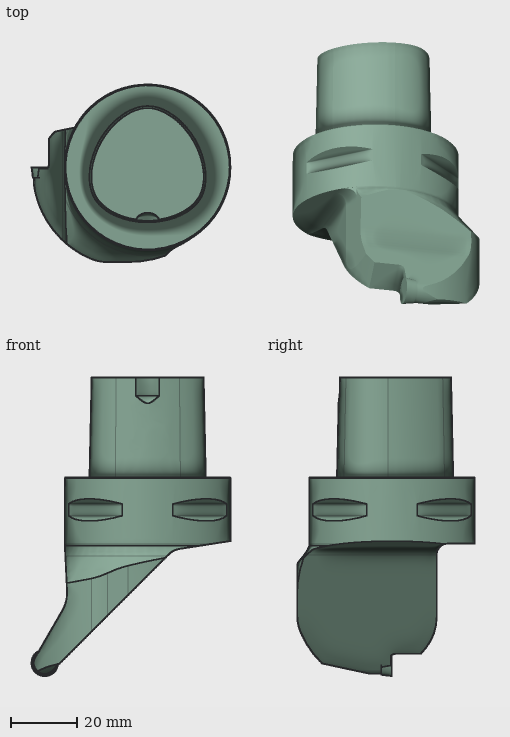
import cadquery as cq
import math


flange_radius = 25.0
flange_height = 20.1
flange_chamfer = 0.3

shank_height = 30.0
shank_mean_radius = 17.55
shank_lobe = 0.95
shank_taper_drop = 0.65
flank_half_angle = 25.0

key_radius = 4.0
key_offset = 17.65
key_depth = 5.5
key_tip_depth = 3.7

gripper_floor_distance = 22.2
gripper_floor_width = 3.5
gripper_mouth_width = 6.7
gripper_z = -9.9
gripper_angles = (45.0, 135.0, 225.0, 315.0)
gripper_corner = 0.3

band_height = 0.6
band_bottom_radius = 24.9
neck_cove_height = 3.0
cove_start_angle = 20.0
flare_angle = 40.0

insert_radius = 4.0
insert_thickness = 3.18
insert_relief = 7.0
insert_x = -31.0
insert_z = -56.0

nose_radius = 3.3
front_slope = 30.0
front_top_x = -flange_radius
front_top_z = -19.9
front_bend_x = -24.15
front_bend_radius = 11.0
underside_edge_z = -19.3
underside_slope = 8.8
underside_blend_radius = 6.0

seat_face_y = -0.4
gullet_distance = 54.4
gullet_corner = 1.5

side_wall_y = 13.5
side_fillet = 3.2
side_bend = (-15.0, side_wall_y)
side_front = (-35.0, 9.3)
side_round_start = 39.0
side_round_radius = 27.0

clearance_x = -5.7
clearance_y = -1.0
clearance_radius = 28.9
clearance_end_angle = 247.0
blend_mid = (-14.7, -28.3)
flat_y = -28.57
flat_start = (-12.1, flat_y)
flat_end = (-6.0, flat_y)
tail_radius = 34.0
tail_run = 26.0

relief_start_y = -6.6
relief_start_z = -59.3
relief_rise = 0.215

arm_bottom = -65.0
reach = 40.0


def lobed_point(normal_deg, mean_radius):
    """Point of the three-lobed curve whose outward normal has this angle."""
    n = math.radians(normal_deg)
    phase = 3 * (n - math.pi / 2)
    support = mean_radius + shank_lobe * math.cos(phase)
    slope = -3 * shank_lobe * math.sin(phase)
    return (
        support * math.cos(n) - slope * math.sin(n),
        support * math.sin(n) + slope * math.cos(n),
    )


def lobed_wire(mean_radius, z):
    """Closed three-lobed section: a flank and a lobe, three times."""
    spline_steps = 6
    lobe_spacing = 120.0
    edges = []
    for flank in (-90.0, 30.0, 150.0):
        flank_start = flank - flank_half_angle
        stops = (flank_start, flank + flank_half_angle, flank_start + lobe_spacing)
        for start, end in zip(stops, stops[1:]):
            angles = [start + (end - start) * i / spline_steps for i in range(spline_steps + 1)]
            points = [cq.Vector(*lobed_point(a, mean_radius), z) for a in angles]
            tangents = [
                cq.Vector(-math.sin(math.radians(a)), math.cos(math.radians(a)), 0)
                for a in (start, end)
            ]
            edges.append(cq.Edge.makeSpline(points, tangents))
    return cq.Wire.assembleEdges(edges)


def make_shank():
    base = lobed_wire(shank_mean_radius, 0)
    end = lobed_wire(shank_mean_radius - shank_taper_drop, shank_height)
    shank = cq.Workplane(cq.Solid.makeLoft([base, end], True))
    floor_z = shank_height - key_depth
    notch = (
        cq.Workplane("XZ")
        .polyline([
            (0, shank_height + 1),
            (key_radius, shank_height + 1),
            (key_radius, floor_z),
            (0, floor_z - key_tip_depth),
        ])
        .close()
        .revolve(360, (0, 0, 0), (0, 1, 0))
        .translate((0, -key_offset, 0))
    )
    return shank.cut(notch)


def make_flange():
    flange = (
        cq.Workplane("XY")
        .circle(flange_radius)
        .extrude(-flange_height)
        .faces(">Z")
        .edges()
        .chamfer(flange_chamfer)
    )
    floor_x = gripper_floor_distance
    depth = flange_radius - floor_x
    flank_run = (gripper_mouth_width - gripper_floor_width) / 2 / depth
    outer_x = flange_radius + 2
    outer_half = gripper_floor_width / 2 + flank_run * (outer_x - floor_x)
    groove = (
        cq.Workplane("XZ")
        .polyline([
            (floor_x, gripper_z - gripper_floor_width / 2),
            (floor_x, gripper_z + gripper_floor_width / 2),
            (outer_x, gripper_z + outer_half),
            (outer_x, gripper_z - outer_half),
        ])
        .close()
        .extrude(flange_radius, both=True)
        .edges("<X and |Y")
        .fillet(gripper_corner)
    )
    for angle in gripper_angles:
        flange = flange.cut(groove.rotate((0, 0, 0), (0, 0, 1), angle))
    return flange


def make_arm_outline():
    """Plan outline of the arm, extruded down from the flange underside."""
    clearance_start_angle = 180.0
    clearance_mid_angle = (clearance_start_angle + clearance_end_angle) / 2

    def clearance(angle_deg):
        angle = math.radians(angle_deg)
        return (
            clearance_x + clearance_radius * math.cos(angle),
            clearance_y + clearance_radius * math.sin(angle),
        )

    def tail(run):
        drop = tail_radius - math.sqrt(tail_radius**2 - run**2)
        return (flat_end[0] + run, flat_end[1] + drop)

    return (
        cq.Workplane("XY", origin=(0, 0, -flange_height))
        .moveTo(*clearance(clearance_start_angle))
        .threePointArc(clearance(clearance_mid_angle), clearance(clearance_end_angle))
        .threePointArc(blend_mid, flat_start)
        .lineTo(*flat_end)
        .threePointArc(tail(tail_run / 2), tail(tail_run))
        .lineTo(flange_radius, side_wall_y)
        .lineTo(*side_bend)
        .lineTo(*side_front)
        .close()
        .extrude(arm_bottom + flange_height)
    )


def make_flare():
    """Ring under the flange: band, cove, then a cone opening downwards."""
    cove_start_z = -flange_height - band_height
    start = math.radians(cove_start_angle)
    full = math.radians(flare_angle)
    cove_radius = neck_cove_height / (math.sin(full) - math.sin(start))

    def cove(angle):
        return (
            band_bottom_radius + cove_radius * (math.cos(start) - math.cos(angle)),
            cove_start_z - cove_radius * (math.sin(angle) - math.sin(start)),
        )

    cove_end = cove(full)
    cone_radius = 2 * reach
    cone_z = cove_end[1] - (cone_radius - cove_end[0]) / math.tan(full)
    return (
        cq.Workplane("XZ")
        .moveTo(0, -flange_height)
        .lineTo(flange_radius, -flange_height)
        .lineTo(band_bottom_radius, cove_start_z)
        .threePointArc(cove((start + full) / 2), cove_end)
        .lineTo(cone_radius, cone_z)
        .lineTo(0, cone_z)
        .close()
        .revolve(360, (0, 0, 0), (0, 1, 0))
    )


def make_side_root():
    """Fillet between the +Y side of the arm and the flange underside."""
    side_slope = (side_bend[1] - side_front[1]) / (side_bend[0] - side_front[0])
    far_y = side_bend[1] - side_slope * (reach + side_bend[0])
    depth = side_fillet + 1
    plate = cq.Workplane("XY", origin=(0, 0, -flange_height)).rect(2 * reach, 2 * reach).extrude(1)
    wall = (
        cq.Workplane("XY", origin=(0, 0, -flange_height))
        .polyline([(-reach, far_y), side_bend, (reach, side_wall_y), (reach, -reach), (-reach, -reach)])
        .close()
        .extrude(-depth)
    )
    root_edges = cq.selectors.BoxSelector(
        (-reach, 0, -flange_height - 0.1), (reach, side_wall_y + 1, -flange_height + 0.1)
    )
    rooted = plate.union(wall).edges(root_edges).fillet(side_fillet)
    under_flange = (
        cq.Workplane("XY", origin=(0, 0, -flange_height))
        .circle(band_bottom_radius)
        .extrude(-depth)
        .intersect(cq.Workplane("XY").box(2 * reach, reach, 2 * reach).translate((0, reach / 2, 0)))
    )
    return rooted.intersect(under_flange)


def edge_along_y(point):
    """Selector for the edge along Y whose middle is at this (x, z) and Y = 0."""
    return cq.NearestToPointSelector((point[0], 0, point[1]))


def make_side_profile():
    """Side shape of flange and arm: front, bend, round nose, 45 degree back, underside."""
    slope = math.radians(front_slope)
    nose_front = (
        insert_x - nose_radius * math.cos(slope),
        insert_z + nose_radius * math.sin(slope),
    )
    bend = (front_bend_x, nose_front[1] + (front_bend_x - nose_front[0]) / math.tan(slope))
    nose_drop = nose_radius * math.sqrt(0.5)
    nose_back = (insert_x + nose_drop, insert_z - nose_drop)
    front_angle = 180.0 - front_slope
    back_angle = 315.0
    nose_mid_angle = math.radians((front_angle + back_angle) / 2)
    nose_mid = (
        insert_x + nose_radius * math.cos(nose_mid_angle),
        insert_z + nose_radius * math.sin(nose_mid_angle),
    )
    back_offset = nose_back[0] - nose_back[1]
    rise = math.tan(math.radians(underside_slope))
    crossing_x = (underside_edge_z - rise * flange_radius + back_offset) / (1 - rise)
    crossing = (crossing_x, crossing_x - back_offset)
    rim = (reach, underside_edge_z + rise * (reach - flange_radius))
    profile = (
        cq.Workplane("XZ")
        .moveTo(front_top_x, front_top_z)
        .lineTo(*bend)
        .lineTo(*nose_front)
        .threePointArc(nose_mid, nose_back)
        .lineTo(*crossing)
        .lineTo(*rim)
        .lineTo(reach, 1)
        .lineTo(front_top_x, 1)
        .close()
        .extrude(reach, both=True)
    )
    profile = profile.edges(edge_along_y(bend)).fillet(front_bend_radius)
    return profile.edges(edge_along_y(crossing)).fillet(underside_blend_radius)


def make_tip_trim():
    """Waste on the +Y side of the tip, cut square to the 45 degree back: side rounding and chip gullet."""
    def rounding(distance):
        run = distance - side_round_start
        drop = side_round_radius - math.sqrt(side_round_radius**2 - run**2)
        return (distance, side_wall_y - drop)

    across_back = cq.Plane(origin=(0, 0, 0), xDir=(-1, 0, -1), normal=(1, 0, -1))
    corner_mid = gullet_corner * (1 - math.sqrt(0.5))
    far = 2 * reach
    return (
        cq.Workplane(across_back)
        .moveTo(*rounding(side_round_start))
        .threePointArc(rounding((side_round_start + gullet_distance) / 2), rounding(gullet_distance))
        .lineTo(gullet_distance, seat_face_y + gullet_corner)
        .threePointArc(
            (gullet_distance + corner_mid, seat_face_y + corner_mid),
            (gullet_distance + gullet_corner, seat_face_y),
        )
        .lineTo(far, seat_face_y)
        .lineTo(far, reach)
        .lineTo(side_round_start, reach)
        .close()
        .extrude(reach, both=True)
    )


def make_bottom_relief():
    """Wedge removed under the arm so that it clears the bore behind the insert."""
    start = (relief_start_y, relief_start_z)
    end_z = relief_start_z + relief_rise * (reach + relief_start_y)
    return (
        cq.Workplane("YZ")
        .polyline([start, (-reach, end_z), (-reach, arm_bottom), (relief_start_y, arm_bottom)])
        .close()
        .extrude(reach, both=True)
    )


def make_insert():
    back_radius = insert_radius - insert_thickness * math.tan(math.radians(insert_relief))
    cone = cq.Solid.makeCone(
        insert_radius,
        back_radius,
        insert_thickness,
        pnt=cq.Vector(insert_x, 0, insert_z),
        dir=cq.Vector(0, -1, 0),
    )
    return cq.Workplane(cone)


insert = make_insert()

body = make_flange().union(make_arm_outline().intersect(make_flare())).union(make_side_root())
body = body.intersect(make_side_profile())
body = body.cut(make_tip_trim()).cut(make_bottom_relief()).cut(insert)
holder = make_shank().union(body)

result = cq.Compound.makeCompound([holder.val(), insert.val()])